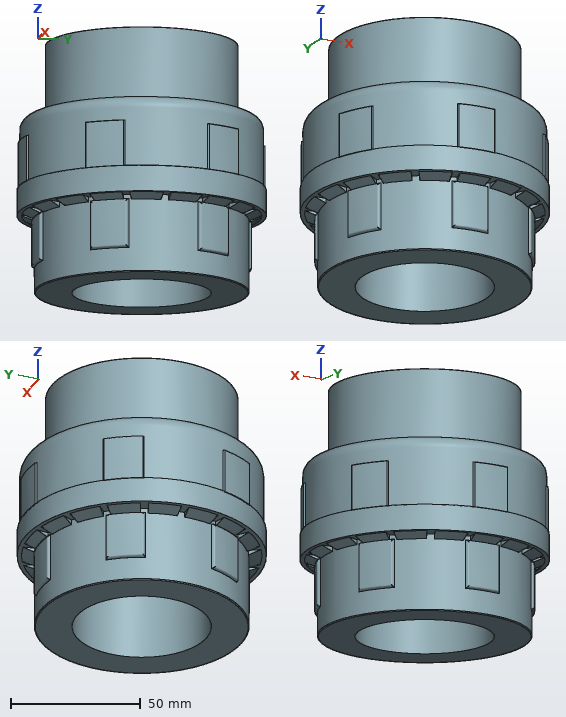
import cadquery as cq
import math

TOTAL_HEIGHT = 97.0
SLEEVE_TOP = 68.5
FLANGE_TOP = 40.45
FLANGE_BOTTOM = 30.4
TEETH_BOTTOM = 28.4

TUBE_DIAMETER = 74.2
SLEEVE_DIAMETER = 94.0
FLANGE_DIAMETER = 96.0
BODY_DIAMETER = 82.7
SOCKET_DIAMETER = 63.0
BORE_DIAMETER = 53.6

SOCKET_DEPTH = 38.0
SLEEVE_FILLET = 4.85
BODY_CHAMFER = 0.4

PAD_COUNT = 6
FIRST_PAD_ANGLE = 30.0
PAD_ROOT = 2.9

SLEEVE_PAD_DIAMETER = 95.3
SLEEVE_PAD_WIDTH = 15.9
SLEEVE_PAD_TOP = 58.4
SLEEVE_PAD_DRAFT = 30.0

BODY_PAD_DIAMETER = 84.8
BODY_PAD_WIDTH = 15.4
BODY_PAD_BOTTOM = 9.5
BODY_PAD_TOP = 28.7
BODY_PAD_DRAFT = 25.0
BODY_PAD_FILLET = 0.8

TOOTH_COUNT = 18
TEETH_DIAMETER = 92.5
TOOTH_GAP = 3.0
FIRST_GAP_ANGLE = 0.0


def cylinder(diameter, bottom, top):
    return cq.Workplane("XY").workplane(offset=bottom).circle(diameter / 2).extrude(top - bottom)


def around_axis(shape, count, first_angle):
    """Copies of one shape, spread evenly around the Z axis."""
    copies = cq.Workplane("XY")
    for index in range(count):
        angle = first_angle + index * 360.0 / count
        copies = copies.add(shape.rotate((0, 0, 0), (0, 0, 1), angle))
    return copies.combine()


def revolved(profile):
    """Solid of revolution about Z from (radius, height) points."""
    return cq.Workplane("XZ").polyline(profile).close().revolve(360, (0, 0), (0, 1))


def drafted_prism(width, surface_diameter, pad_diameter, draft, bottom, top):
    """Prism along +X that narrows outward from its full width on the carrying surface."""
    half_width = width / 2
    base_x = math.sqrt((surface_diameter / 2) ** 2 - half_width**2)
    inner_x = base_x - PAD_ROOT
    outer_x = pad_diameter / 2
    outer_half_width = half_width - (outer_x - base_x) * math.tan(math.radians(draft))
    outline = [
        (inner_x, -half_width),
        (base_x, -half_width),
        (outer_x, -outer_half_width),
        (outer_x, outer_half_width),
        (base_x, half_width),
        (inner_x, half_width),
    ]
    return cq.Workplane("XY").workplane(offset=bottom).polyline(outline).close().extrude(top - bottom)


def sleeve_pad():
    """Pad with drafted sides and a flat top, standing on the flange."""
    prism = drafted_prism(
        SLEEVE_PAD_WIDTH, SLEEVE_DIAMETER, SLEEVE_PAD_DIAMETER, SLEEVE_PAD_DRAFT, FLANGE_TOP, SLEEVE_PAD_TOP
    )
    return prism.intersect(cylinder(SLEEVE_PAD_DIAMETER, FLANGE_TOP, SLEEVE_PAD_TOP))


def body_pad():
    """Pad with drafted sides and ends and a rounded rim."""
    prism = drafted_prism(
        BODY_PAD_WIDTH, BODY_DIAMETER, BODY_PAD_DIAMETER, BODY_PAD_DRAFT, BODY_PAD_BOTTOM, BODY_PAD_TOP
    )
    body_radius = BODY_DIAMETER / 2
    pad_radius = BODY_PAD_DIAMETER / 2
    end_draft = (pad_radius - body_radius) * math.tan(math.radians(BODY_PAD_DRAFT))
    band_profile = [
        (0, BODY_PAD_BOTTOM),
        (body_radius, BODY_PAD_BOTTOM),
        (pad_radius, BODY_PAD_BOTTOM + end_draft),
        (pad_radius, BODY_PAD_TOP - end_draft),
        (body_radius, BODY_PAD_TOP),
        (0, BODY_PAD_TOP),
    ]
    pad = prism.intersect(revolved(band_profile))
    return pad.faces(">X").edges().fillet(BODY_PAD_FILLET)


def teeth():
    """Tapered ring running from the flange down to the body, split by radial gaps."""
    ring_profile = [
        (0, TEETH_BOTTOM),
        (BODY_DIAMETER / 2, TEETH_BOTTOM),
        (TEETH_DIAMETER / 2, FLANGE_BOTTOM),
        (0, FLANGE_BOTTOM),
    ]
    gap = (
        cq.Workplane("XY")
        .workplane(offset=TEETH_BOTTOM)
        .center(FLANGE_DIAMETER / 4, 0)
        .rect(FLANGE_DIAMETER / 2, TOOTH_GAP)
        .extrude(FLANGE_BOTTOM - TEETH_BOTTOM)
    )
    return revolved(ring_profile).cut(around_axis(gap, TOOTH_COUNT, FIRST_GAP_ANGLE))


sleeve = cylinder(SLEEVE_DIAMETER, FLANGE_BOTTOM, SLEEVE_TOP).faces(">Z").edges().fillet(SLEEVE_FILLET)
body = cylinder(BODY_DIAMETER, 0, FLANGE_BOTTOM).faces("<Z").edges().chamfer(BODY_CHAMFER)
fitting = (
    sleeve.union(cylinder(FLANGE_DIAMETER, FLANGE_BOTTOM, FLANGE_TOP))
    .union(cylinder(TUBE_DIAMETER, SLEEVE_TOP, TOTAL_HEIGHT))
    .union(teeth())
    .union(body)
)

fitting = fitting.union(around_axis(sleeve_pad(), PAD_COUNT, FIRST_PAD_ANGLE))
fitting = fitting.union(around_axis(body_pad(), PAD_COUNT, FIRST_PAD_ANGLE))

bore = cylinder(BORE_DIAMETER, 0, TOTAL_HEIGHT)
socket = cylinder(SOCKET_DIAMETER, TOTAL_HEIGHT - SOCKET_DEPTH, TOTAL_HEIGHT)

result = fitting.cut(bore).cut(socket)